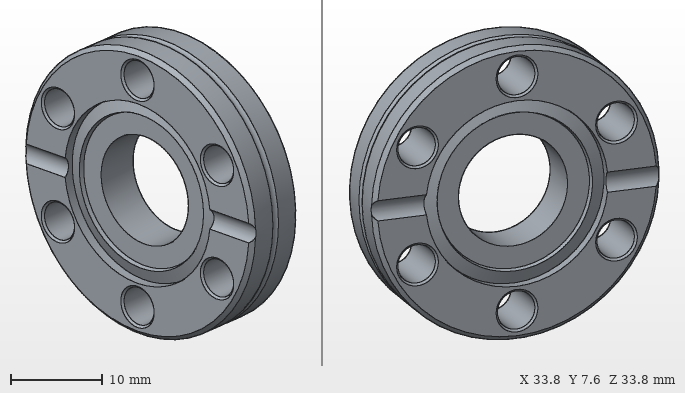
import cadquery as cq
import math

outer_diameter = 33.8
thickness = 7.6
bore_diameter = 12.8
rim_chamfer_axial = 0.5
rim_chamfer_radial = 0.5

recess_diameter = 21.4
recess_wall_depth = 1.2
knife_edge_diameter = 18.25
knife_edge_depth = 0.65
seat_diameter = 17.95
seat_depth = 1.18

bolt_count = 6
bolt_circle_diameter = 27.0
bolt_hole_diameter = 4.4
bolt_countersink_diameter = 4.9

rim_groove_width = 0.9
rim_groove_depth = 0.2

leak_groove_radius = 1.42
leak_groove_depth = 0.6

outer_radius = outer_diameter / 2
half_thickness = thickness / 2


def flange_body():
    """Revolve the half section; sketch x is the radius, sketch y is the axis."""
    bore_radius = bore_diameter / 2
    recess_radius = recess_diameter / 2
    knife_edge_radius = knife_edge_diameter / 2
    seat_radius = seat_diameter / 2
    face_radius = outer_radius - rim_chamfer_radial
    shoulder = half_thickness - rim_chamfer_axial
    seat = half_thickness - seat_depth
    knife_edge = half_thickness - knife_edge_depth
    recess_floor = half_thickness - recess_wall_depth
    section = (
        cq.Workplane("XY")
        .moveTo(bore_radius, -seat)
        .lineTo(seat_radius, -seat)
        .lineTo(knife_edge_radius, -knife_edge)
        .lineTo(recess_radius, -recess_floor)
        .lineTo(recess_radius, -half_thickness)
        .lineTo(face_radius, -half_thickness)
        .lineTo(outer_radius, -shoulder)
        .lineTo(outer_radius, -rim_groove_width / 2)
        .threePointArc(
            (outer_radius - rim_groove_depth, 0),
            (outer_radius, rim_groove_width / 2),
        )
        .lineTo(outer_radius, shoulder)
        .lineTo(face_radius, half_thickness)
        .lineTo(recess_radius, half_thickness)
        .lineTo(recess_radius, recess_floor)
        .lineTo(knife_edge_radius, knife_edge)
        .lineTo(seat_radius, seat)
        .lineTo(bore_radius, seat)
        .close()
    )
    return section.revolve(360, (0, 0, 0), (0, 1, 0))


def bolt_hole_cutter():
    """Through hole along Y with a 45 degree countersink at both ends."""
    hole_radius = bolt_hole_diameter / 2
    countersink_radius = bolt_countersink_diameter / 2
    countersink_depth = countersink_radius - hole_radius
    countersink_end = half_thickness - countersink_depth
    section = (
        cq.Workplane("XY")
        .moveTo(0, -half_thickness)
        .lineTo(countersink_radius, -half_thickness)
        .lineTo(hole_radius, -countersink_end)
        .lineTo(hole_radius, countersink_end)
        .lineTo(countersink_radius, half_thickness)
        .lineTo(0, half_thickness)
        .close()
    )
    return section.revolve(360, (0, 0, 0), (0, 1, 0))


def leak_groove_cutter(side):
    """Round bar along X that skims one face; side is -1 or +1 along Y."""
    bar_center = side * (half_thickness - leak_groove_depth + leak_groove_radius)
    return (
        cq.Workplane("YZ")
        .center(bar_center, 0)
        .circle(leak_groove_radius)
        .extrude(outer_radius, both=True)
    )


result = flange_body()

for index in range(bolt_count):
    angle = math.radians(90 + index * 360 / bolt_count)
    hole_x = bolt_circle_diameter / 2 * math.cos(angle)
    hole_z = bolt_circle_diameter / 2 * math.sin(angle)
    result = result.cut(bolt_hole_cutter().translate((hole_x, 0, hole_z)))

for side in (-1, 1):
    result = result.cut(leak_groove_cutter(side))